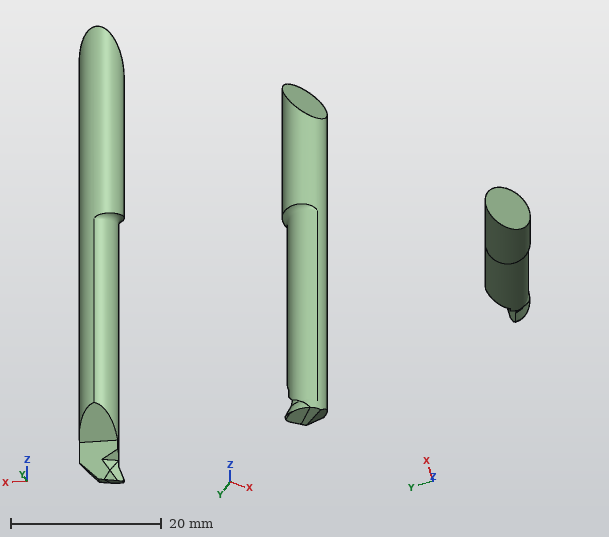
import cadquery as cq
import math

length = 62.45
radius = 3.0
end_angle = 60.0

neck_offset = 0.75
neck_top = 35.7
shoulder_fillet = 1.0
flare_top = 2.25
flare_bottom = 0.3

flute_floor = 0.3
flute_top = 10.3
corner_x, corner_z = 2.8, 0.25
edge_rise = 0.15
chamfer_top = 2.9
chamfer_angle = 43.0
relief_angle = 8.0

groove_top = 4.45
groove_root_z = 3.1
groove_depth = 1.0
groove_angle = 25.0

seat_top_x, seat_top_z = -2.2, 3.1
seat_bottom_x, seat_bottom_z = -0.4, 0.3

margin = 3.1
slope = math.tan(math.radians(end_angle))
reach = radius + margin


def sloped_shank():
    """Round bar with its top cut off by a plane falling toward -Y."""
    bar = cq.Workplane("XY").circle(radius).extrude(length)
    waste = (
        cq.Workplane("YZ")
        .moveTo(radius, length)
        .lineTo(-reach, length - (radius + reach) * slope)
        .lineTo(-reach, length)
        .close()
        .extrude(reach, both=True)
    )
    return bar.cut(waste)


def neck_relief():
    """Ring outside the shifted neck cylinder, with a filleted shoulder."""
    fillet_end = radius + shoulder_fillet
    fillet_mid = fillet_end - shoulder_fillet * math.sqrt(0.5)
    outer = radius + neck_offset + margin
    return (
        cq.Workplane("XZ")
        .moveTo(radius, flare_top)
        .lineTo(radius, neck_top)
        .threePointArc(
            (fillet_mid, neck_top + shoulder_fillet * math.sqrt(0.5)),
            (fillet_end, neck_top + shoulder_fillet),
        )
        .lineTo(outer, neck_top + shoulder_fillet)
        .lineTo(outer, flare_top)
        .close()
        .revolve(360, (0, 0, 0), (0, 1, 0))
        .translate((neck_offset, 0, 0))
    )


def flare_relief():
    """Waste around the oblique cylinder joining the neck to the tip."""
    block = cq.Workplane("XY").workplane(offset=flare_bottom).rect(2 * reach, 2 * reach)
    block = block.extrude(flare_top - flare_bottom)
    flare = (
        cq.Workplane("XY", origin=(0, 0, flare_bottom))
        .circle(radius)
        .workplane(offset=flare_top - flare_bottom)
        .center(neck_offset, 0)
        .circle(radius)
        .loft(ruled=True)
    )
    return block.cut(flare)


def flute():
    """Removes the +Y half at the tip, running out on a slope."""
    floor_end = flute_top - (radius - flute_floor) * slope
    return (
        cq.Workplane("YZ")
        .moveTo(flute_floor, -margin)
        .lineTo(flute_floor, floor_end)
        .lineTo(reach, flute_top + margin * slope)
        .lineTo(reach, -margin)
        .close()
        .extrude(reach, both=True)
    )


def swept_solid(points, direction):
    """Extrude a closed polygon along an oblique direction."""
    wire = cq.Wire.makePolygon([cq.Vector(*p) for p in points], close=True)
    return cq.Workplane(obj=cq.Solid.extrudeLinear(wire, [], cq.Vector(*direction)))


def bottom_relief():
    """Trims the end along the cutting edge, rising toward -Y."""
    edge = [(-radius, corner_z), (-corner_x, 0.0), (reach, (reach + corner_x) * edge_rise)]
    outline = [(-reach, corner_z), *edge, (reach, -reach), (-reach, -reach)]
    rise = math.tan(math.radians(relief_angle))
    start = [(x, reach, z - reach * rise) for x, z in outline]
    return swept_solid(start, (0, -2 * reach, 2 * reach * rise))


def back_chamfer():
    """Trims the +X corner of the end, straight through in Y."""
    chamfer_slope = math.tan(math.radians(chamfer_angle))
    return (
        cq.Workplane("XZ")
        .moveTo(radius, chamfer_top)
        .lineTo(-radius, chamfer_top - 2 * radius * chamfer_slope)
        .lineTo(reach, chamfer_top - 2 * radius * chamfer_slope)
        .lineTo(reach, chamfer_top + margin * chamfer_slope)
        .close()
        .extrude(reach, both=True)
    )


def chip_groove():
    """V groove in the flute floor behind the cutting edge."""
    tilt = math.tan(math.radians(groove_angle))
    neck_x = neck_offset - radius
    start_x = -reach
    root_y = flute_floor - groove_depth
    drop = (neck_x - start_x) * tilt
    flank = groove_depth / groove_root_z
    section = [
        (flute_floor, groove_top),
        (root_y, groove_root_z),
        (flute_floor + flank * margin, -margin),
        (reach, -margin),
        (reach, groove_top),
    ]
    start = [(start_x, y - drop, z) for y, z in section]
    return swept_solid(start, (2 * reach, 2 * reach * tilt, 0))


def cutter_region():
    """Space on the tip side of the inclined seat."""
    run = (seat_bottom_x - seat_top_x) / (seat_top_z - seat_bottom_z)
    top_z = seat_top_z + margin
    return (
        cq.Workplane("XZ")
        .moveTo(seat_top_x - run * margin, top_z)
        .lineTo(seat_bottom_x + run * margin, seat_bottom_z - margin)
        .lineTo(-reach, seat_bottom_z - margin)
        .lineTo(-reach, top_z)
        .close()
        .extrude(reach, both=True)
    )


bar = sloped_shank().cut(neck_relief()).cut(flare_relief()).cut(flute())
bar = bar.cut(bottom_relief()).cut(back_chamfer()).cut(chip_groove())
shank = bar.cut(cutter_region())
cutter = bar.intersect(cutter_region())

result = cq.Compound.makeCompound([*shank.solids().vals(), *cutter.solids().vals()])